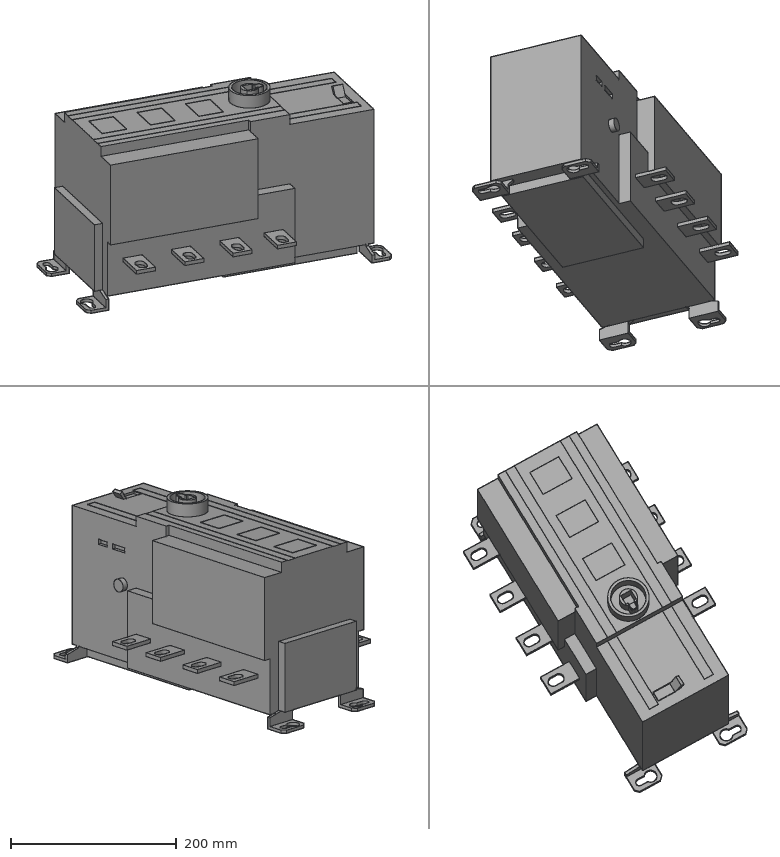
import cadquery as cq

TOTAL_LENGTH = 403.5
TOTAL_WIDTH = 230.0
KNOB_TOP = 223.5
BODY_BOTTOM = 17.0
DECK_TOP = 207.0
COVER_TOP = 194.0

BODY_WIDTH = 120.2
BODY_FRONT = -173.5
BODY_BACK = 184.5
DECK_BACK = 73.5
DECK_FRONT_WIDTH = 110.0
BLOCK_WIDTH = 149.5
BLOCK_TOP = 115.5
COVER_WIDTH = 167.0
COVER_BACK = 21.5
COVER_BOTTOM = 88.5

FRONT_PLATE_THICKNESS = 11.0
FRONT_PLATE_BOTTOM = 19.5
FRONT_PLATE_TOP = 107.5
BASE_PLATE_WIDTH = 107.5
BASE_PLATE_BACK = 165.0
BASE_PLATE_FRONT = -11.5
BASE_PLATE_BOTTOM = 4.5

FOOT_THICKNESS = 4.0
FOOT_INNER_X = 40.5
FOOT_OUTER_X = 78.5
FOOT_PLATE_Y = 173.5
FRONT_FOOT_NECK_Z = FRONT_PLATE_BOTTOM
REAR_FOOT_NECK_Z = 15.0
FOOT_SHOULDER_DROP = 4.5
FOOT_TOP_INNER_X = 34.3
FOOT_CHAMFER = 5.0
KEYHOLE_X = 53.0
KEYHOLE_Y = 191.3
KEYHOLE_RADIUS = 7.5
KEYHOLE_SLOT_END_X = 72.5
KEYHOLE_SLOT_WIDTH = 9.0
KEYHOLE_SLOT_CORNER = 4.0

TERMINAL_Y = (45.5, -13.0, -76.5, -140.5)
TERMINAL_WIDTH = 25.0
TERMINAL_BOTTOM = 59.0
TERMINAL_THICKNESS = 5.0
TERMINAL_SLOT_X = 100.5
TERMINAL_SLOT_LENGTH = 20.0
TERMINAL_SLOT_WIDTH = 12.0
WINDOW_LENGTH = 40.5
WINDOW_WIDTH = 32.3

INLAY_DEPTH = 0.5
STRIP_X = 38.5
STRIP_WIDTH = 12.5
STRIP_BACK = 174.5

KNOB_Y = 46.5
KNOB_RADIUS = 25.0
KNOB_BORE_RADIUS = 21.5
SOCKET_RADIUS = 11.0
SOCKET_LENGTH = 14.0
SOCKET_WIDTH = 12.5
KEY_REACH = 12.5
KEY_RADIUS = 5.2
KEY_WALL = 1.2
KEY_DEPTH = 8.0

BUTTON_Y = 97.0
BUTTON_Z = 114.5
BUTTON_RADIUS = 8.0
BUTTON_HEIGHT = 7.3
SIDE_SLOTS = ((131.5, 15.5), (104.0, 21.5))
SIDE_SLOT_Z = 158.5
SIDE_SLOT_HEIGHT = 6.5
SIDE_SLOT_DEPTH = 5.0

TAB_FRONT = 157.5
TAB_BACK = 170.3
TAB_RECESS_END_X = 30.0
TAB_RECESS_DEPTH = 3.0
TAB_TIP_X = -6.0
TAB_TIP_RISE = 8.0
TAB_EDGE_X = -2.0
TAB_EDGE_RISE = 10.5
TAB_FOOT_X = 6.5


def box(x0, x1, y0, y1, z0, z1):
    """Box between two opposite corners."""
    return cq.Workplane("XY").box(x1 - x0, y1 - y0, z1 - z0, centered=False).translate((x0, y0, z0))


def wide_box(width, y0, y1, z0, z1):
    """Box centred on the YZ plane."""
    return box(-width / 2, width / 2, y0, y1, z0, z1)


def cylinder(radius, y, z0, z1):
    """Upright cylinder on the YZ plane."""
    return cq.Workplane("XY", origin=(0, y, z0)).circle(radius).extrude(z1 - z0)


def make_housing():
    parts = (
        wide_box(BODY_WIDTH, COVER_BACK, BODY_BACK, BODY_BOTTOM, COVER_TOP),
        wide_box(BODY_WIDTH, COVER_BACK, DECK_BACK, COVER_TOP, DECK_TOP),
        wide_box(DECK_FRONT_WIDTH, BODY_FRONT, COVER_BACK, COVER_TOP, DECK_TOP),
        wide_box(COVER_WIDTH, BODY_FRONT, COVER_BACK, COVER_BOTTOM, COVER_TOP),
        wide_box(BODY_WIDTH, BODY_FRONT - FRONT_PLATE_THICKNESS, BODY_FRONT,
                 FRONT_PLATE_BOTTOM, FRONT_PLATE_TOP),
        wide_box(BASE_PLATE_WIDTH, BASE_PLATE_FRONT, BASE_PLATE_BACK, BASE_PLATE_BOTTOM, BODY_BOTTOM),
    )
    housing = wide_box(BLOCK_WIDTH, BODY_FRONT, DECK_BACK, BODY_BOTTOM, BLOCK_TOP)
    for part in parts:
        housing = housing.union(part)
    return housing


def make_foot(neck_z, top_z):
    """Bent foot at the +X, +Y corner; a straight neck rises from neck_z to top_z."""
    shoulder_z = neck_z - FOOT_SHOULDER_DROP
    base = box(FOOT_INNER_X, FOOT_OUTER_X, FOOT_PLATE_Y, TOTAL_LENGTH / 2, 0, FOOT_THICKNESS)
    base = base.edges("|Z and >Y").chamfer(FOOT_CHAMFER)
    slot = box(KEYHOLE_X, KEYHOLE_SLOT_END_X, KEYHOLE_Y - KEYHOLE_SLOT_WIDTH / 2,
               KEYHOLE_Y + KEYHOLE_SLOT_WIDTH / 2, 0, FOOT_THICKNESS)
    slot = slot.edges("|Z and >X").fillet(KEYHOLE_SLOT_CORNER)
    opening = (
        cq.Workplane("XY", origin=(KEYHOLE_X, KEYHOLE_Y, 0))
        .circle(KEYHOLE_RADIUS).extrude(FOOT_THICKNESS)
    )
    upright = (
        cq.Workplane("XZ", origin=(0, FOOT_PLATE_Y + FOOT_THICKNESS, 0))
        .polyline([
            (FOOT_INNER_X, 0),
            (FOOT_OUTER_X, 0),
            (FOOT_OUTER_X, shoulder_z),
            (BODY_WIDTH / 2, neck_z),
            (FOOT_TOP_INNER_X, neck_z),
            (FOOT_INNER_X, shoulder_z),
        ])
        .close().extrude(FOOT_THICKNESS)
    )
    if top_z > neck_z:
        upright = upright.union(box(FOOT_TOP_INNER_X, BODY_WIDTH / 2, FOOT_PLATE_Y,
                                    FOOT_PLATE_Y + FOOT_THICKNESS, neck_z, top_z))
    return base.cut(slot).cut(opening).union(upright)


def make_terminal(y):
    """Flat bar through the terminal block with a slotted hole at each end."""
    bar = wide_box(TOTAL_WIDTH, y - TERMINAL_WIDTH / 2, y + TERMINAL_WIDTH / 2,
                   TERMINAL_BOTTOM, TERMINAL_BOTTOM + TERMINAL_THICKNESS)
    slots = (
        cq.Workplane("XY", origin=(0, y, TERMINAL_BOTTOM))
        .pushPoints([(-TERMINAL_SLOT_X, 0), (TERMINAL_SLOT_X, 0)])
        .slot2D(TERMINAL_SLOT_LENGTH, TERMINAL_SLOT_WIDTH).extrude(TERMINAL_THICKNESS)
    )
    return bar.cut(slots)


def key_shape(radius, z0, z1):
    """Round-ended tongue from the knob centre toward the back."""
    end_y = KNOB_Y + KEY_REACH
    tongue = wide_box(2 * radius, KNOB_Y, end_y, z0, z1)
    return tongue.union(cylinder(radius, end_y, z0, z1))


def make_knob():
    ring = cylinder(KNOB_RADIUS, KNOB_Y, DECK_TOP, KNOB_TOP)
    ring = ring.cut(cylinder(KNOB_BORE_RADIUS, KNOB_Y, DECK_TOP, KNOB_TOP))
    socket = cylinder(SOCKET_RADIUS, KNOB_Y, DECK_TOP, KNOB_TOP)
    socket = socket.union(key_shape(KEY_RADIUS, DECK_TOP, KNOB_TOP))
    socket = socket.cut(key_shape(KEY_RADIUS - KEY_WALL, KNOB_TOP - KEY_DEPTH, KNOB_TOP))
    socket = socket.cut(wide_box(SOCKET_LENGTH, KNOB_Y - SOCKET_WIDTH / 2, KNOB_Y + SOCKET_WIDTH / 2,
                                 DECK_TOP, KNOB_TOP))
    return ring.union(socket)


def make_inlays():
    """Two long strips along the top and one window per front terminal."""
    deck_floor = DECK_TOP - INLAY_DEPTH
    rear_floor = COVER_TOP - INLAY_DEPTH
    inlays = cq.Workplane("XY")
    for x in (-STRIP_X, STRIP_X):
        x0 = x - STRIP_WIDTH / 2
        x1 = x + STRIP_WIDTH / 2
        inlays = inlays.add(box(x0, x1, BODY_FRONT, DECK_BACK, deck_floor, DECK_TOP))
        inlays = inlays.add(box(x0, x1, DECK_BACK, STRIP_BACK, rear_floor, COVER_TOP))
    for y in TERMINAL_Y[1:]:
        inlays = inlays.add(wide_box(WINDOW_LENGTH, y - WINDOW_WIDTH / 2, y + WINDOW_WIDTH / 2,
                                     deck_floor, DECK_TOP))
    return inlays.combine()


def make_side_slots():
    side = -BODY_WIDTH / 2
    slots = cq.Workplane("XY")
    for y, length in SIDE_SLOTS:
        slots = slots.add(box(side, side + SIDE_SLOT_DEPTH, y - length / 2, y + length / 2,
                              SIDE_SLOT_Z - SIDE_SLOT_HEIGHT / 2, SIDE_SLOT_Z + SIDE_SLOT_HEIGHT / 2))
    return slots.combine()


def make_button():
    return (
        cq.Workplane("YZ", origin=(-BODY_WIDTH / 2, BUTTON_Y, BUTTON_Z))
        .circle(BUTTON_RADIUS).extrude(-BUTTON_HEIGHT)
    )


def make_tab():
    """Leaning plate that rises from the left end of its recess."""
    floor = COVER_TOP - TAB_RECESS_DEPTH
    return (
        cq.Workplane("XZ", origin=(0, TAB_BACK, 0))
        .polyline([
            (0, floor),
            (TAB_FOOT_X, floor),
            (TAB_EDGE_X, COVER_TOP + TAB_EDGE_RISE),
            (TAB_TIP_X, COVER_TOP + TAB_TIP_RISE),
            (0, COVER_TOP),
        ])
        .close().extrude(TAB_BACK - TAB_FRONT)
    )


result = make_housing()
result = result.cut(make_inlays())
result = result.cut(make_side_slots())
result = result.cut(box(0, TAB_RECESS_END_X, TAB_FRONT, TAB_BACK, COVER_TOP - TAB_RECESS_DEPTH, COVER_TOP))
result = result.union(make_tab())
result = result.union(make_button())
result = result.union(make_knob())

for terminal_y in TERMINAL_Y:
    result = result.union(make_terminal(terminal_y))

rear_foot = make_foot(REAR_FOOT_NECK_Z, BODY_BOTTOM)
front_foot = make_foot(FRONT_FOOT_NECK_Z, FRONT_FOOT_NECK_Z).mirror("XZ")
for foot in (rear_foot, front_foot):
    result = result.union(foot).union(foot.mirror("YZ"))